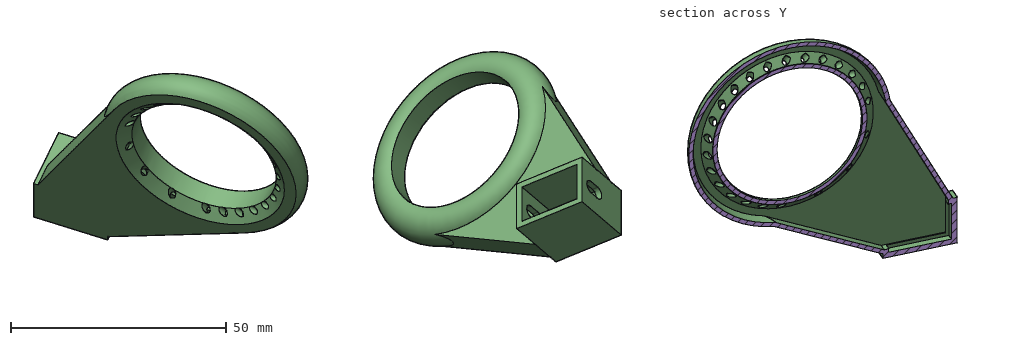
import cadquery as cq
import math

BOX_WIDTH = 18.5
BOX_DEPTH = 16.0
BOX_HEIGHT = 12.85
BOX_WALL = 1.5
SLOT_LENGTH = 6.0
SLOT_HEIGHT = 3.2
SLOT_CENTER_Y = 11.0

RING_X = 41.6
RING_Z = 40.22
RING_OUTER_RADIUS = 25.21
BEAD_RADIUS = 5.0
BEAD_CENTER_Y = 3.35
BORE_RADIUS = 18.0
CONE_RADIUS = 21.0
CONE_DEPTH = 2.4

ARM_THICKNESS = 6.1
ARM_TOP_START_X = 1.1
ARM_BOTTOM_START_Z = 1.25

DUCT_WALL = 1.2

HOLE_POSITIONS = 27
FIRST_HOLE_ANGLE = 5.6
OMITTED_HOLES = (13, 15, 17, 19)
HOLE_DIAMETER = 1.65
HOLE_REACH = 2.5
HOLE_MOUTH_RADIUS = 18.75
HOLE_SKEW = 35.0
HOLE_TILT = 10.0

BEAD_CENTER_RADIUS = RING_OUTER_RADIUS - BEAD_RADIUS
FACE_RADIUS = BEAD_CENTER_RADIUS + math.sqrt(BEAD_RADIUS**2 - BEAD_CENTER_Y**2)
BACK_EDGE_Y = BEAD_CENTER_Y + math.sqrt(BEAD_RADIUS**2 - (BEAD_CENTER_RADIUS - BORE_RADIUS) ** 2)
CONE_FLARE = CONE_RADIUS - BORE_RADIUS
HOLE_MOUTH_Y = CONE_DEPTH * (CONE_RADIUS - HOLE_MOUTH_RADIUS) / CONE_FLARE


def tangent_point(start, side):
    """Point where a line from start touches the face circle; side is 1 (left) or -1 (right)."""
    dx = RING_X - start[0]
    dz = RING_Z - start[1]
    distance = math.hypot(dx, dz)
    direction = math.atan2(dz, dx) + side * math.asin(FACE_RADIUS / distance)
    length = math.sqrt(distance**2 - FACE_RADIUS**2)
    return (start[0] + length * math.cos(direction), start[1] + length * math.sin(direction))


def make_arm(inset=0.0):
    """Arm plate from the box to the wall of the bore, drawn in on every side by the inset."""
    top_start = (ARM_TOP_START_X, BOX_HEIGHT)
    bottom_start = (BOX_WIDTH, ARM_BOTTOM_START_Z)
    outline = (
        cq.Workplane("XZ", origin=(0, inset, 0))
        .moveTo(ARM_TOP_START_X, ARM_BOTTOM_START_Z)
        .lineTo(*top_start)
        .lineTo(*tangent_point(top_start, 1))
        .lineTo(RING_X, RING_Z)
        .lineTo(*tangent_point(bottom_start, -1))
        .lineTo(*bottom_start)
        .close()
    )
    if inset:
        outline = outline.offset2D(-inset, "intersection")
    return outline.extrude(2 * inset - ARM_THICKNESS).cut(make_walled_bore(DUCT_WALL))


def spin_about_ring_axis(profile):
    """Revolve a profile of (radius, Y) points and move it to the ring."""
    return profile.revolve(360, (0, 0), (0, 1)).translate((RING_X, 0, RING_Z))


def make_ring(inset=0.0):
    """Ring drawn in on every side by the inset."""
    profile = (
        cq.Workplane("XY")
        .moveTo(CONE_RADIUS, 0)
        .lineTo(FACE_RADIUS, 0)
        .threePointArc((RING_OUTER_RADIUS, BEAD_CENTER_Y), (BORE_RADIUS, BACK_EDGE_Y))
        .lineTo(BORE_RADIUS, CONE_DEPTH)
        .close()
    )
    if inset:
        profile = profile.offset2D(-inset, "intersection")
    return spin_about_ring_axis(profile)


def make_walled_bore(wall):
    """Open space inside the ring together with the wall around its bore and cone."""
    flare_wall = wall * math.hypot(CONE_DEPTH, CONE_FLARE) / CONE_DEPTH
    straight_start = CONE_DEPTH * (1 + (flare_wall - wall) / CONE_FLARE)
    profile = cq.Workplane("XY").polyline(
        [
            (0, 0),
            (CONE_RADIUS + flare_wall, 0),
            (BORE_RADIUS + wall, straight_start),
            (BORE_RADIUS + wall, BACK_EDGE_Y),
            (0, BACK_EDGE_Y),
        ]
    )
    return spin_about_ring_axis(profile.close())


def make_duct():
    """Air passage running through the arm and around the ring."""
    return make_ring(DUCT_WALL).union(make_arm(DUCT_WALL))


def make_air_holes():
    """Holes from the cone into the duct, turned from the radial direction around the ring."""
    skew = math.radians(HOLE_SKEW)
    tilt = math.radians(HOLE_TILT)
    radial_mouth = cq.Vector(HOLE_MOUTH_RADIUS, HOLE_MOUTH_Y, 0)
    axis = cq.Vector(
        math.cos(skew) * math.cos(tilt), math.sin(tilt), math.sin(skew) * math.cos(tilt)
    )
    hole = cq.Solid.makeCylinder(
        HOLE_DIAMETER / 2, 2 * HOLE_REACH, radial_mouth - axis * HOLE_REACH, axis
    )
    holes = cq.Workplane("XY")
    for position in range(HOLE_POSITIONS):
        if position not in OMITTED_HOLES:
            angle = FIRST_HOLE_ANGLE + position * 360 / HOLE_POSITIONS
            holes = holes.add(hole.rotate(cq.Vector(), cq.Vector(0, 1, 0), -angle))
    return holes.translate((RING_X, 0, RING_Z)).combine(clean=False)


def make_box():
    return cq.Workplane("XY").box(BOX_WIDTH, BOX_DEPTH, BOX_HEIGHT, centered=False)


def make_box_pocket():
    """Pocket open at the back."""
    return cq.Workplane("XY", origin=(BOX_WALL, BOX_WALL, BOX_WALL)).box(
        BOX_WIDTH - 2 * BOX_WALL, BOX_DEPTH - BOX_WALL, BOX_HEIGHT - 2 * BOX_WALL, centered=False
    )


def make_slot():
    """Slot through both side walls of the box."""
    return (
        cq.Workplane("YZ")
        .center(SLOT_CENTER_Y, BOX_HEIGHT / 2)
        .slot2D(SLOT_LENGTH, SLOT_HEIGHT)
        .extrude(BOX_WIDTH)
    )


body = make_box().union(make_arm()).union(make_ring())
body = body.cut(make_box_pocket()).cut(make_slot())
result = body.cut(make_duct()).cut(make_air_holes(), clean=False).solids()